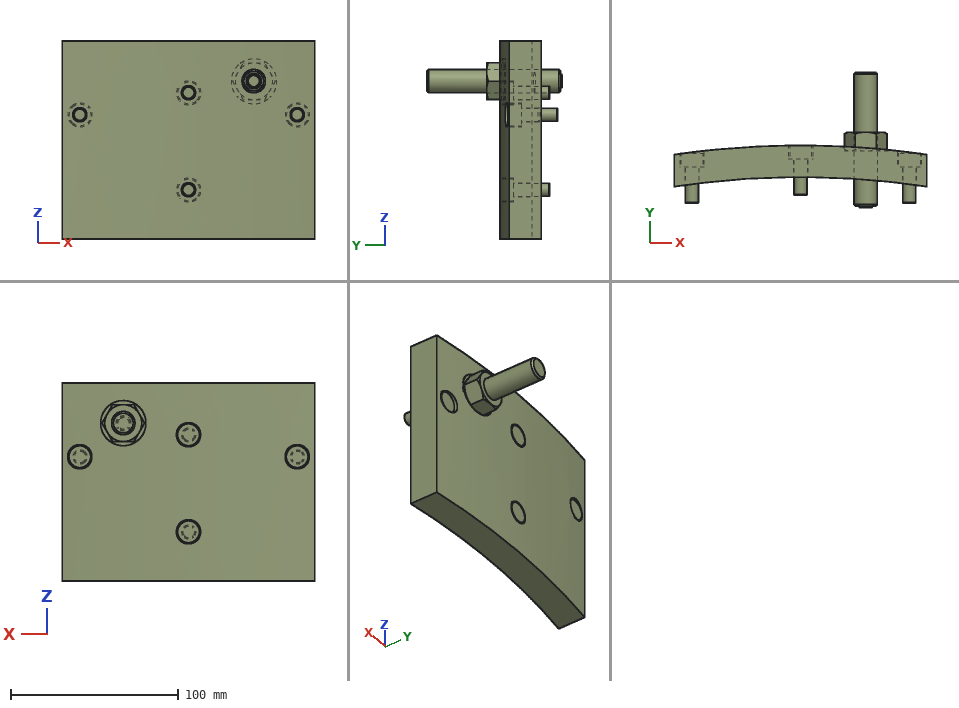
import cadquery as cq
import math

PLATE_WIDTH = 151.0
PLATE_HEIGHT = 118.5
PLATE_THICKNESS = 19.0
INNER_RADIUS = 500.1
OUTER_RADIUS = INNER_RADIUS + PLATE_THICKNESS

SHANK_DIAMETER = 8.0
SHANK_LENGTH = 21.9
SHANK_CHAMFER = 0.6
SHANK_HOLE_DIAMETER = 8.5
HEAD_DIAMETER = 13.0
HEAD_HEIGHT = SHANK_DIAMETER
COUNTERBORE_DIAMETER = 14.5
SIDE_SCREW_X = 65.0
SIDE_SCREW_Z = 15.1
SIDE_SCREW_TIP_Y = -15.7
MIDDLE_SCREW_SPACING = 58.0
MIDDLE_SCREW_CENTER_Z = -0.8
MIDDLE_SCREW_TIP_Y = -10.9

STUD_X = 39.0
STUD_Z = 35.2
STUD_DIAMETER = 14.0
STUD_LENGTH = 80.0
STUD_FRONT_Y = -17.4
STUD_END_DIAMETER = 11.8
NOSE_DIAMETER = 8.0
NOSE_LENGTH = 0.9
NOSE_CHAMFER_LENGTH = 0.3
NOSE_CHAMFER_WIDTH = 0.6
NOSE_GROOVE_DIAMETER = 9.2
NOSE_GROOVE_DEPTH = 1.5

NUT_SIDES = 6
NUT_ACROSS_FLATS = 22.0
NUT_HEIGHT = 11.2
NUT_CHAMFER_ANGLE = 30.0
SPOTFACE_DIAMETER = 27.0
SPOTFACE_FLOOR_Y = 15.7

BEYOND_PLATE_Y = 2 * PLATE_THICKNESS

SCREW_PLACES = [
    (-SIDE_SCREW_X, SIDE_SCREW_Z, SIDE_SCREW_TIP_Y),
    (SIDE_SCREW_X, SIDE_SCREW_Z, SIDE_SCREW_TIP_Y),
    (0, MIDDLE_SCREW_CENTER_Z - MIDDLE_SCREW_SPACING / 2, MIDDLE_SCREW_TIP_Y),
    (0, MIDDLE_SCREW_CENTER_Z + MIDDLE_SCREW_SPACING / 2, MIDDLE_SCREW_TIP_Y),
]


def rod(x, z, start_y, end_y, diameter):
    """Cylinder along Y between two Y positions."""
    plane = cq.Workplane("XZ", origin=(x, start_y, z))
    return plane.circle(diameter / 2).extrude(start_y - end_y)


def arc_drop(radius):
    """How far an arc falls from its crest to the plate's side edges."""
    return radius - math.sqrt(radius**2 - (PLATE_WIDTH / 2) ** 2)


def make_plate():
    side_x = PLATE_WIDTH / 2
    front_y = -arc_drop(INNER_RADIUS)
    rear_y = PLATE_THICKNESS - arc_drop(OUTER_RADIUS)
    plate = (
        cq.Workplane("XY")
        .moveTo(-side_x, front_y)
        .threePointArc((0, 0), (side_x, front_y))
        .lineTo(side_x, rear_y)
        .threePointArc((0, PLATE_THICKNESS), (-side_x, rear_y))
        .close()
        .extrude(PLATE_HEIGHT / 2, both=True)
    )
    for x, z, tip_y in SCREW_PLACES:
        plate = plate.cut(rod(x, z, tip_y, BEYOND_PLATE_Y, SHANK_HOLE_DIAMETER))
        plate = plate.cut(rod(x, z, tip_y + SHANK_LENGTH, BEYOND_PLATE_Y, COUNTERBORE_DIAMETER))
    plate = plate.cut(rod(STUD_X, STUD_Z, STUD_FRONT_Y, BEYOND_PLATE_Y, STUD_DIAMETER))
    return plate.cut(rod(STUD_X, STUD_Z, SPOTFACE_FLOOR_Y, BEYOND_PLATE_Y, SPOTFACE_DIAMETER))


def make_screw(x, z, tip_y):
    head_y = tip_y + SHANK_LENGTH
    shank = rod(x, z, tip_y, head_y, SHANK_DIAMETER).faces("<Y").chamfer(SHANK_CHAMFER)
    return shank.union(rod(x, z, head_y, head_y + HEAD_HEIGHT, HEAD_DIAMETER))


def make_stud():
    chamfer = (STUD_DIAMETER - STUD_END_DIAMETER) / 2
    stud = rod(STUD_X, STUD_Z, STUD_FRONT_Y, STUD_FRONT_Y + STUD_LENGTH, STUD_DIAMETER)
    stud = stud.faces("<Y or >Y").chamfer(chamfer)
    groove_floor_y = STUD_FRONT_Y + NOSE_GROOVE_DEPTH
    recess = rod(STUD_X, STUD_Z, STUD_FRONT_Y, groove_floor_y, NOSE_GROOVE_DIAMETER)
    nose = rod(STUD_X, STUD_Z, STUD_FRONT_Y - NOSE_LENGTH, groove_floor_y, NOSE_DIAMETER)
    nose = nose.faces("<Y").chamfer(NOSE_CHAMFER_LENGTH, NOSE_CHAMFER_WIDTH)
    return stud.cut(recess).union(nose)


def make_nut():
    corner_diameter = NUT_ACROSS_FLATS / math.cos(math.pi / NUT_SIDES)
    corner_chamfer = (corner_diameter - NUT_ACROSS_FLATS) / 2
    chamfer_depth = corner_chamfer * math.tan(math.radians(NUT_CHAMFER_ANGLE))
    rear_y = SPOTFACE_FLOOR_Y + NUT_HEIGHT
    hexagon = (
        cq.Workplane("XZ", origin=(STUD_X, SPOTFACE_FLOOR_Y, STUD_Z))
        .polygon(NUT_SIDES, corner_diameter)
        .extrude(-NUT_HEIGHT)
    )
    blank = rod(STUD_X, STUD_Z, SPOTFACE_FLOOR_Y, rear_y, corner_diameter)
    blank = blank.faces("<Y or >Y").chamfer(chamfer_depth, corner_chamfer)
    nut = hexagon.intersect(blank)
    return nut.cut(rod(STUD_X, STUD_Z, SPOTFACE_FLOOR_Y, rear_y, STUD_DIAMETER))


plate = make_plate()
screws = [make_screw(x, z, tip_y) for x, z, tip_y in SCREW_PLACES]
stud = make_stud()
nut = make_nut()

result = cq.Compound.makeCompound(
    [plate.val(), stud.val(), nut.val(), *[screw.val() for screw in screws]]
)